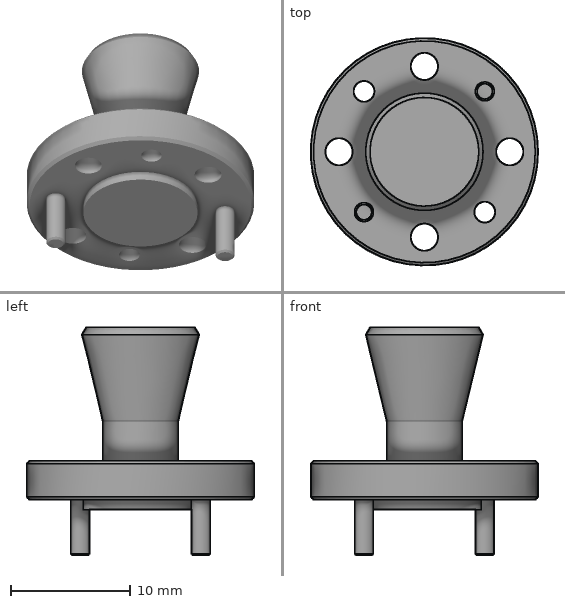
import cadquery as cq
import math

boss_bottom = 3.85
flange_bottom = 4.65
flange_top = 7.93
neck_top = 11.25
grip_widest = 18.48
grip_top = 19.11

flange_diameter = 19.05
boss_radius = 4.78
neck_radius = 3.17
grip_radius = 4.91
grip_top_radius = 4.55
flange_chamfer = 0.25

hole_circle_radius = 7.15
bolt_hole_diameter = 2.25
guide_hole_diameter = 1.72
pin_diameter = 1.59
pin_chamfer = 0.15

bolt_angles = [0, 90, 180, 270]
guide_angles = [135, 315]
pin_angles = [45, 225]


def circle_points(angles):
    """Points on the hole circle at the given angles in degrees."""
    return [
        (
            hole_circle_radius * math.cos(math.radians(angle)),
            hole_circle_radius * math.sin(math.radians(angle)),
        )
        for angle in angles
    ]


def make_flange():
    """Chamfered disc with a shallow locating boss underneath."""
    disc = (
        cq.Workplane("XY", origin=(0, 0, flange_bottom))
        .circle(flange_diameter / 2)
        .extrude(flange_top - flange_bottom)
        .edges()
        .chamfer(flange_chamfer)
    )
    boss = (
        cq.Workplane("XY", origin=(0, 0, boss_bottom))
        .circle(boss_radius)
        .extrude(flange_bottom - boss_bottom)
    )
    return disc.union(boss)


def make_grip():
    """Straight neck that flares into a handle with a bevelled top."""
    return (
        cq.Workplane("XZ")
        .moveTo(0, flange_top)
        .lineTo(neck_radius, flange_top)
        .lineTo(neck_radius, neck_top)
        .lineTo(grip_radius, grip_widest)
        .lineTo(grip_top_radius, grip_top)
        .lineTo(0, grip_top)
        .close()
        .revolve(360, (0, 0, 0), (0, 1, 0))
    )


def make_hole_cutters(angles, diameter):
    """Cylinders through the flange at the given angles."""
    return (
        cq.Workplane("XY", origin=(0, 0, flange_bottom))
        .pushPoints(circle_points(angles))
        .circle(diameter / 2)
        .extrude(flange_top - flange_bottom)
    )


def make_plug():
    """Flange and grip in one piece, with bolt, guide and pin holes."""
    return (
        make_flange()
        .union(make_grip())
        .cut(make_hole_cutters(bolt_angles, bolt_hole_diameter))
        .cut(make_hole_cutters(guide_angles, guide_hole_diameter))
        .cut(make_hole_cutters(pin_angles, pin_diameter))
    )


def make_pin(x, y):
    """Dowel pin, chamfered at both ends and flush with the flange top."""
    return (
        cq.Workplane("XY", origin=(x, y, 0))
        .circle(pin_diameter / 2)
        .extrude(flange_top)
        .edges("%CIRCLE")
        .chamfer(pin_chamfer)
    )


plug = make_plug()
pins = [make_pin(x, y) for x, y in circle_points(pin_angles)]

result = cq.Compound.makeCompound([plug.val(), *[pin.val() for pin in pins]])